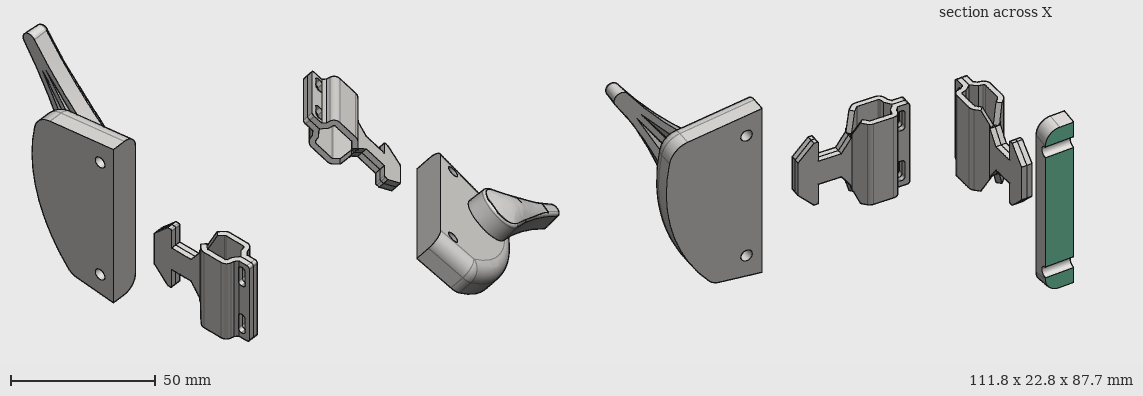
import cadquery as cq
import math


HOUSING_FRONT_Y = -5.5
HOUSING_BACK_Y = 6.0
HOUSING_TOP_Z = 38.7
HOUSING_BOTTOM_Z = -32.3
TOP_TILT = 8.1
BOTTOM_TILT = 5.8
BOW_RADIUS = 65.0
BOW_LEFT_X = -37.7
BOW_CENTER_Z = 15.0
TOP_CORNER_RADIUS = 8.5
BOTTOM_CORNER_RADIUS = 6.3
BACK_RIM_RADIUS = 5.8
SCREW_HOLE_DIAMETER = 4.5
SCREW_HOLE_X = -6.1
SCREW_HOLE_ZS = (29.0, -22.8)

LEVER_TIP_X = -49.1
LEVER_TIP_Z = 52.5
LEVER_ANGLE = 55.0
TIP_RADIUS = 2.9
WAIST_S = 22.4
WAIST_HALF_WIDTH = 4.6
HEAD_S = 43.4
HEAD_HALF_WIDTH = 8.7
LEVER_END_S = 55.0
LEVER_BACK_Y = 13.7
LEVER_DRAFT = 3.0
LEVER_RIM_RADIUS = 1.2
CROWN_STATIONS = (
    (8.9, 2.1, 0.1),
    (20.1, 3.4, 0.9),
    (30.2, 4.9, 1.9),
    (40.2, 6.8, 2.2),
    (48.0, 7.5, 1.2),
    (53.6, 2.8, 0.1),
)
CROWN_ROOT = 0.6
GROOVE_START_S = 12.2
GROOVE_END_S = 33.5
GROOVE_INNER_T = 1.0
GROOVE_OUTER_T = 3.6
GROOVE_DEEPEST_T = 1.3
GROOVE_END_DEPTH = 1.7

PLATE_THICKNESS = 2.1
CLIP_LEFT_X = 15.9
CLIP_RIGHT_X = 59.8
CLIP_HALF_HEIGHT = 17.4
POCKET_HALF_DEPTH = 4.7
POCKET_START_X = 38.0
POCKET_END_X = 51.4
NECK_X = 52.0
NECK_Y = 2.5
FLANGE_X = 54.0
BEND_INSIDE_RADIUS = 0.7
HOOK_TIP_HALF_HEIGHT = 7.0
HOOK_TOP_X = 22.1
HOOK_HALF_HEIGHT = 13.4
HOOK_BACK_X = 23.9
HOOK_ROUND = 0.6
STEM_HALF_HEIGHT = 5.0
STEM_END_X = 32.9
SHOULDER_X = 36.8
SHOULDER_HALF_HEIGHT = 10.4
SHOULDER_CUT_LENGTH = 3.9
FLANGE_CORNER_RADIUS = 1.1
SLOT_LEFT_X = 54.8
SLOT_RIGHT_X = 57.9
SLOT_HEIGHT = 8.5
SLOT_CENTER_Z = 10.8
SLOT_CORNER_RADIUS = 1.3


def plane_xz(y):
    """Sketch plane at the given Y: local x = X, local y = Z. A negative extrusion goes toward +Y."""
    return cq.Workplane("XZ", origin=(0, y, 0))


def make_housing():
    bow_center_x = BOW_LEFT_X + BOW_RADIUS

    def bow_point(z):
        return (bow_center_x - math.sqrt(BOW_RADIUS**2 - (z - BOW_CENTER_Z)**2), z)

    def meet_bow(corner_z, slope):
        """Where the straight edge z = corner_z + slope * x meets the bow."""
        a = 1 + slope**2
        b = -2 * bow_center_x + 2 * slope * (corner_z - BOW_CENTER_Z)
        c = bow_center_x**2 + (corner_z - BOW_CENTER_Z)**2 - BOW_RADIUS**2
        x = (-b - math.sqrt(b**2 - 4 * a * c)) / (2 * a)
        return (x, corner_z + slope * x)

    top_left = meet_bow(HOUSING_TOP_Z, math.tan(math.radians(TOP_TILT)))
    bottom_left = meet_bow(HOUSING_BOTTOM_Z, -math.tan(math.radians(BOTTOM_TILT)))

    def nearest_to(x, z):
        return cq.selectors.NearestToPointSelector((x, (HOUSING_FRONT_Y + HOUSING_BACK_Y) / 2, z))

    block = (
        plane_xz(HOUSING_FRONT_Y)
        .moveTo(0, HOUSING_BOTTOM_Z)
        .lineTo(0, HOUSING_TOP_Z)
        .lineTo(*top_left)
        .threePointArc(bow_point(BOW_CENTER_Z), bottom_left)
        .close()
        .extrude(HOUSING_FRONT_Y - HOUSING_BACK_Y)
    )
    block = block.edges(nearest_to(*top_left)).fillet(TOP_CORNER_RADIUS)
    block = block.edges(nearest_to(*bottom_left)).fillet(BOTTOM_CORNER_RADIUS)
    block = block.faces(">Y").edges("not(>X)").fillet(BACK_RIM_RADIUS)
    holes = (
        plane_xz(HOUSING_FRONT_Y)
        .pushPoints([(SCREW_HOLE_X, z) for z in SCREW_HOLE_ZS])
        .circle(SCREW_HOLE_DIAMETER / 2)
        .extrude(HOUSING_FRONT_Y - HOUSING_BACK_Y)
    )
    return block.cut(holes)


def lever_plane(y):
    """Lever plane: local x = s, local y = t, normal toward -Y."""
    angle = math.radians(LEVER_ANGLE)
    return cq.Workplane(cq.Plane(
        origin=(LEVER_TIP_X, y, LEVER_TIP_Z),
        xDir=(math.cos(angle), 0, -math.sin(angle)),
        normal=(0, -1, 0),
    ))


def make_lever():
    blank = (
        lever_plane(HOUSING_BACK_Y)
        .moveTo(0, TIP_RADIUS)
        .threePointArc((WAIST_S, WAIST_HALF_WIDTH), (HEAD_S, HEAD_HALF_WIDTH))
        .threePointArc((LEVER_END_S, 0), (HEAD_S, -HEAD_HALF_WIDTH))
        .threePointArc((WAIST_S, -WAIST_HALF_WIDTH), (0, -TIP_RADIUS))
        .threePointArc((-TIP_RADIUS, 0), (0, TIP_RADIUS))
        .close()
        .extrude(HOUSING_BACK_Y - LEVER_BACK_Y, taper=LEVER_DRAFT)
        .faces(">Y")
        .edges()
        .fillet(LEVER_RIM_RADIUS)
    )
    lever = blank.union(make_crown())
    for side in (1, -1):
        lever = lever.cut(make_groove(side))
    return lever


def make_crown():
    """Domed back of the lever: arched sections across the handle, joined smoothly along s."""
    plane = lever_plane(LEVER_BACK_Y).plane
    sections = []
    for s, half_width, height in CROWN_STATIONS:
        low_left, left, crest, right, low_right = (
            plane.toWorldCoords((s, t, -rise))
            for t, rise in (
                (-half_width, -CROWN_ROOT),
                (-half_width, 0),
                (0, height),
                (half_width, 0),
                (half_width, -CROWN_ROOT),
            )
        )
        sections.append(cq.Wire.assembleEdges([
            cq.Edge.makeLine(low_left, left),
            cq.Edge.makeThreePointArc(left, crest, right),
            cq.Edge.makeLine(right, low_right),
            cq.Edge.makeLine(low_right, low_left),
        ]))
    return cq.Workplane(cq.Solid.makeLoft(sections))


def make_groove(side):
    """Widening, deepening groove in the face that lies on the housing."""
    plane = lever_plane(HOUSING_BACK_Y).plane
    start, inner, outer, deepest = (
        plane.toWorldCoords((s, side * t, -depth))
        for s, t, depth in (
            (GROOVE_START_S, GROOVE_INNER_T, 0),
            (GROOVE_END_S, GROOVE_INNER_T, 0),
            (GROOVE_END_S, GROOVE_OUTER_T, 0),
            (GROOVE_END_S, GROOVE_DEEPEST_T, GROOVE_END_DEPTH),
        )
    )
    triangles = (
        (inner, outer, deepest),
        (start, inner, outer),
        (start, outer, deepest),
        (start, deepest, inner),
    )
    faces = [cq.Face.makeFromWires(cq.Wire.makePolygon(corners, close=True)) for corners in triangles]
    return cq.Workplane(cq.Solid.makeSolid(cq.Shell.makeShell(faces)))


def offset_path(points, distance):
    """Mitred copy of an open path, moved to its left by the distance."""
    headings = [math.atan2(q[1] - p[1], q[0] - p[0]) for p, q in zip(points, points[1:])]
    before = headings[:1] + headings
    after = headings + headings[-1:]
    moved = []
    for (x, y), h0, h1 in zip(points, before, after):
        middle = (h0 + h1) / 2
        reach = distance / math.cos((h1 - h0) / 2)
        moved.append((x - reach * math.sin(middle), y + reach * math.cos(middle)))
    return moved


def make_clip_half(side):
    inside = [
        (CLIP_LEFT_X, 0),
        (POCKET_START_X, 0),
        (POCKET_START_X + POCKET_HALF_DEPTH, POCKET_HALF_DEPTH),
        (POCKET_END_X, POCKET_HALF_DEPTH),
        (NECK_X, NECK_Y),
        (FLANGE_X, 0),
        (CLIP_RIGHT_X, 0),
    ]
    outside = offset_path(inside, PLATE_THICKNESS)
    plate = (
        cq.Workplane("XY", origin=(0, 0, -CLIP_HALF_HEIGHT))
        .polyline(inside + outside[::-1])
        .close()
        .extrude(2 * CLIP_HALF_HEIGHT)
    )
    for bend in (2, 3):
        for path, radius in ((inside, BEND_INSIDE_RADIUS), (outside, BEND_INSIDE_RADIUS + PLATE_THICKNESS)):
            x, y = path[bend]
            plate = plate.edges(cq.selectors.NearestToPointSelector((x, y, 0))).fillet(radius)
    half = plate.intersect(clip_outline()).cut(clip_slots()).cut(shoulder_cuts())
    return half if side > 0 else half.mirror("XZ")


def clip_outline():
    upper = [
        (CLIP_LEFT_X, HOOK_TIP_HALF_HEIGHT),
        (HOOK_TOP_X, HOOK_HALF_HEIGHT),
        (HOOK_BACK_X, HOOK_HALF_HEIGHT),
        (HOOK_BACK_X, STEM_HALF_HEIGHT),
        (STEM_END_X, STEM_HALF_HEIGHT),
        (SHOULDER_X, SHOULDER_HALF_HEIGHT),
        (SHOULDER_X, CLIP_HALF_HEIGHT),
        (CLIP_RIGHT_X, CLIP_HALF_HEIGHT),
    ]
    lower = [(x, -z) for x, z in reversed(upper)]
    depth = POCKET_HALF_DEPTH + PLATE_THICKNESS
    outline = plane_xz(0).polyline(upper + lower).close().extrude(-depth)
    outline = outline.edges("|Y and >X").fillet(FLANGE_CORNER_RADIUS)
    for z in (HOOK_HALF_HEIGHT, -HOOK_HALF_HEIGHT):
        hook_corner = cq.selectors.NearestToPointSelector((HOOK_BACK_X, depth / 2, z))
        outline = outline.edges(hook_corner).fillet(HOOK_ROUND)
    return outline


def shoulder_cuts():
    """Bevels of the sloping wall, cut square to that wall."""
    sloping_wall = cq.Plane(origin=(POCKET_START_X, 0, 0), xDir=(1, 1, 0), normal=(-1, 1, 0))
    cuts = cq.Workplane()
    for z_sign in (1, -1):
        bevel = (
            cq.Workplane(sloping_wall)
            .moveTo(-PLATE_THICKNESS, z_sign * SHOULDER_HALF_HEIGHT)
            .lineTo(0, z_sign * SHOULDER_HALF_HEIGHT)
            .lineTo(SHOULDER_CUT_LENGTH, z_sign * CLIP_HALF_HEIGHT)
            .lineTo(-PLATE_THICKNESS, z_sign * CLIP_HALF_HEIGHT)
            .close()
            .extrude(2 * PLATE_THICKNESS)
        )
        cuts = cuts.add(bevel)
    return cuts.combine()


def clip_slots():
    return (
        plane_xz(0)
        .pushPoints([((SLOT_LEFT_X + SLOT_RIGHT_X) / 2, z) for z in (SLOT_CENTER_Z, -SLOT_CENTER_Z)])
        .rect(SLOT_RIGHT_X - SLOT_LEFT_X, SLOT_HEIGHT)
        .extrude(-PLATE_THICKNESS)
        .edges("|Y")
        .fillet(SLOT_CORNER_RADIUS)
    )


housing = make_housing()
lever = make_lever()
clip_halves = [make_clip_half(side) for side in (1, -1)]
result = cq.Compound.makeCompound([housing.val(), lever.val(), *[half.val() for half in clip_halves]])